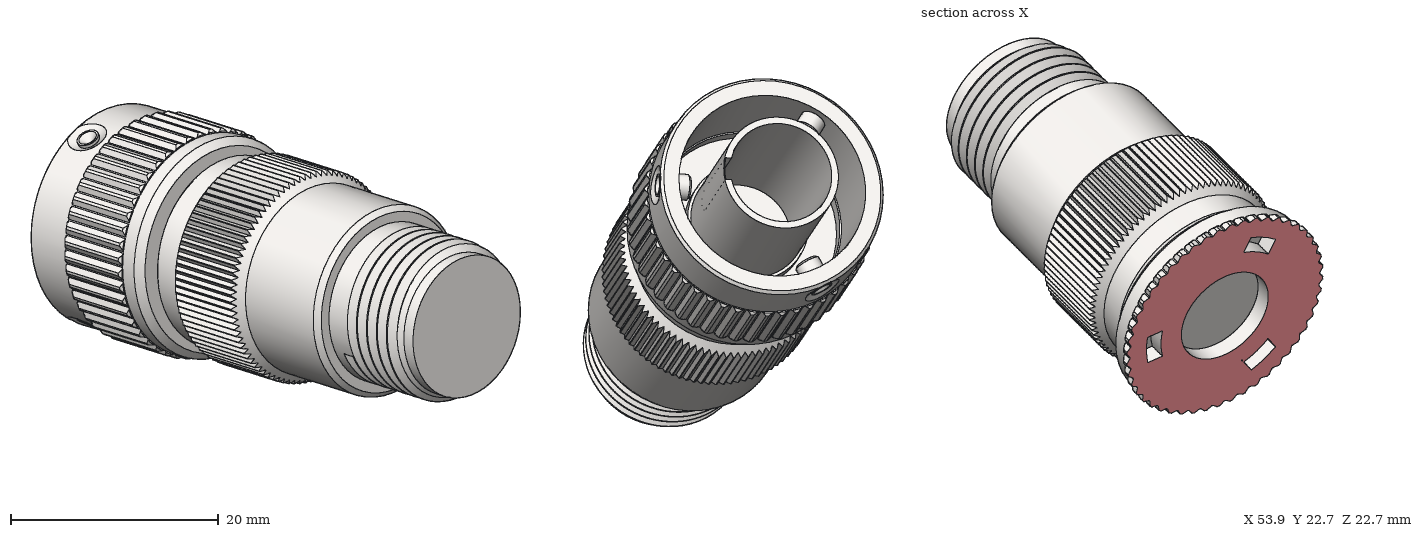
import cadquery as cq
import math

total_length = 53.89

tube_radius = 5.65
tube_bore_radius = 5.0
tube_bore_depth = 18.0
tube_collar_radius = 5.95
keyway_width = 2.2
keyway_depth = 0.55
keyway_length = 10.0

ring_start = 3.83
ring_end = 19.45
ring_radius = 11.0
ring_front_chamfer = 0.3
ring_rear_chamfer = 0.75
ring_bore_radius = 9.2
ring_seat_radius = 9.05
ring_seat_start = 14.5
socket_floor = 16.0

grip_start = 9.05
grip_end = 17.1
grip_chamfer = 0.25
grip_teeth = 48
grip_tip_radius = 11.38
grip_root_radius = 10.95
grip_flat_share = 0.2

pin_angles = (0, 120, 240)
pin_x = 6.1
pin_diameter = 2.5
pin_tip_radius = 7.7
pin_tip_chamfer = 0.2
pin_head_diameter = 2.2
pin_head_position = 10.8
pin_head_cone_diameter = 1.8
countersink_diameter = 4.3
countersink_depth = 0.55
pin_slot_width = 3.2
pin_slot_radius = 7.42
pin_slot_depth = 2.0

neck_radius = 7.45
shell_start = 19.85
shell_end = 42.97
shell_radius = 9.5
shell_chamfer = 0.55

band_start = 22.99
band_end = 32.85
band_teeth = 90
band_tip_radius = 10.52
band_root_radius = 10.12
band_flat_share = 0.1

thread_radius = 7.94
thread_root_radius = 7.15
thread_end = 52.6
inch = 25.4
threads_per_inch = 18
thread_pitch = inch / threads_per_inch
thread_crest_flat = 0.15
thread_groove_start = 44.9
thread_start_angle = 205.5
thread_overrun = 0.8
thread_cut_clearance = 0.1
pilot_radius = 7.05


def cylinder(radius, start, end):
    """Cylinder about the X axis between two X positions."""
    return cq.Workplane("YZ").workplane(offset=start).circle(radius).extrude(end - start)


def around_axis(body, angle):
    """Turn a body about the X axis by an angle in degrees."""
    return body.rotate((0, 0, 0), (1, 0, 0), angle)


def knurl_band(start, end, teeth, tip_radius, root_radius, flat_share, chamfer):
    """Ring of straight teeth along X, its ends bevelled at 45 degrees."""
    pitch_angle = 2 * math.pi / teeth
    half_flat = flat_share * pitch_angle / 2
    points = []
    for index in range(teeth):
        tip_angle = (index + 0.5) * pitch_angle
        root_angle = (index + 1) * pitch_angle
        corners = [
            (tip_radius, tip_angle - half_flat),
            (tip_radius, tip_angle + half_flat),
            (root_radius, root_angle),
        ]
        points += [(radius * math.cos(angle), radius * math.sin(angle)) for radius, angle in corners]
    teeth_body = cq.Workplane("YZ").workplane(offset=start).polyline(points).close().extrude(end - start)
    return teeth_body.intersect(cylinder(tip_radius, start, end).edges().chamfer(chamfer))


def coupling_ring():
    """Knurled ring, bored to the socket floor and solid behind it."""
    ring = cylinder(ring_radius, ring_start, ring_end)
    ring = ring.faces("<X").chamfer(ring_front_chamfer)
    ring = ring.faces(">X").chamfer(ring_rear_chamfer)
    grip = knurl_band(
        grip_start, grip_end, grip_teeth, grip_tip_radius, grip_root_radius, grip_flat_share, grip_chamfer
    )
    ring = ring.union(grip)
    ring = ring.cut(cylinder(ring_bore_radius, ring_start, ring_seat_start))
    return ring.cut(cylinder(ring_seat_radius, ring_seat_start, socket_floor))


def plug_tube():
    """Solid tube blank with a collar at its root; its bore is cut separately."""
    tube = cylinder(tube_radius, 0, ring_end)
    return tube.union(cylinder(tube_collar_radius, ring_seat_start, ring_end))


def tube_bore():
    """Bore of the plug tube with a round-ended keyway, open at the front, on its +Y side."""
    bore = cylinder(tube_bore_radius, 0, tube_bore_depth)
    keyway_reach = tube_bore_radius + keyway_depth
    keyway = cq.Workplane("XZ").slot2D(2 * keyway_length, keyway_width).extrude(-keyway_reach)
    return bore.union(keyway.intersect(cylinder(keyway_reach, 0, keyway_length)))


def back_shell():
    """Bevelled shell with a fine knurled band and a narrower neck towards the ring."""
    shell = cylinder(shell_radius, shell_start, shell_end).edges().chamfer(shell_chamfer)
    band_chamfer = band_tip_radius - shell_radius
    band = knurl_band(
        band_start, band_end, band_teeth, band_tip_radius, band_root_radius, band_flat_share, band_chamfer
    )
    neck = cylinder(neck_radius, ring_end, shell_start)
    return shell.union(band).union(neck)


def threaded_spigot():
    """Externally threaded end with a plain pilot at its tip."""
    spigot = cylinder(thread_radius, shell_end, thread_end)
    spigot = spigot.faces(">X").chamfer(thread_radius - pilot_radius)
    return spigot.union(cylinder(pilot_radius, thread_end, total_length)).cut(thread_groove())


def thread_groove():
    """Right-hand helical groove, starting abruptly on the -Y side and running off the thread end."""
    length = thread_end + thread_overrun - thread_groove_start
    groove_half_width = (thread_pitch - thread_crest_flat) / 2
    flank_slope = groove_half_width / (thread_radius - thread_root_radius)
    outer_radius = thread_radius + thread_cut_clearance
    half_mouth = flank_slope * (outer_radius - thread_root_radius)
    profile = [
        (thread_root_radius, 0),
        (outer_radius, -half_mouth),
        (outer_radius, half_mouth),
    ]
    helix = cq.Wire.makeHelix(thread_pitch, length, thread_root_radius)
    groove = cq.Workplane("XZ").polyline(profile).close().sweep(cq.Workplane(helix), isFrenet=True)
    groove = groove.rotate((0, 0, 0), (1, 1, 1), 120)
    return around_axis(groove, thread_start_angle).translate((thread_groove_start, 0, 0))


def bayonet_pin():
    """Pin along +Y, from inside the ring wall to its bevelled tip in the socket."""
    middle_of_wall = (ring_radius + ring_bore_radius) / 2
    plane = cq.Plane(origin=(pin_x, middle_of_wall, 0), xDir=(1, 0, 0), normal=(0, -1, 0))
    pin = cq.Workplane(plane).circle(pin_diameter / 2).extrude(middle_of_wall - pin_tip_radius)
    return pin.faces("<Y").chamfer(pin_tip_chamfer)


def pin_countersink():
    """Conical countersink in the ring at +Y, around a pin head that has a 90 degree centre mark."""
    head_edge = pin_head_diameter / 2
    cone_edge = pin_head_cone_diameter / 2
    profile = cq.Workplane("XY").polyline(
        [
            (0, ring_radius),
            (countersink_diameter / 2, ring_radius),
            (head_edge, ring_radius - countersink_depth),
            (head_edge, pin_head_position),
            (cone_edge, pin_head_position),
            (0, pin_head_position - cone_edge),
        ]
    )
    return profile.close().revolve(360, (0, 0), (0, 1)).translate((pin_x, 0, 0))


def pin_slot():
    """Notch in the socket floor, in line with a pin."""
    slot = cq.Workplane("XY").box(
        pin_slot_depth, ring_seat_radius, pin_slot_width, centered=(False, False, True)
    )
    slot = slot.translate((socket_floor, 0, 0))
    inside_seat = cylinder(ring_seat_radius, socket_floor, socket_floor + pin_slot_depth)
    return slot.intersect(inside_seat).cut(cylinder(pin_slot_radius, socket_floor, ring_end))


result = coupling_ring().union(plug_tube())
for pin_angle in pin_angles:
    result = result.union(around_axis(bayonet_pin(), pin_angle))
    result = result.cut(around_axis(pin_countersink(), pin_angle))
    result = result.cut(around_axis(pin_slot(), pin_angle))
result = result.cut(tube_bore())
result = result.union(back_shell()).union(threaded_spigot())